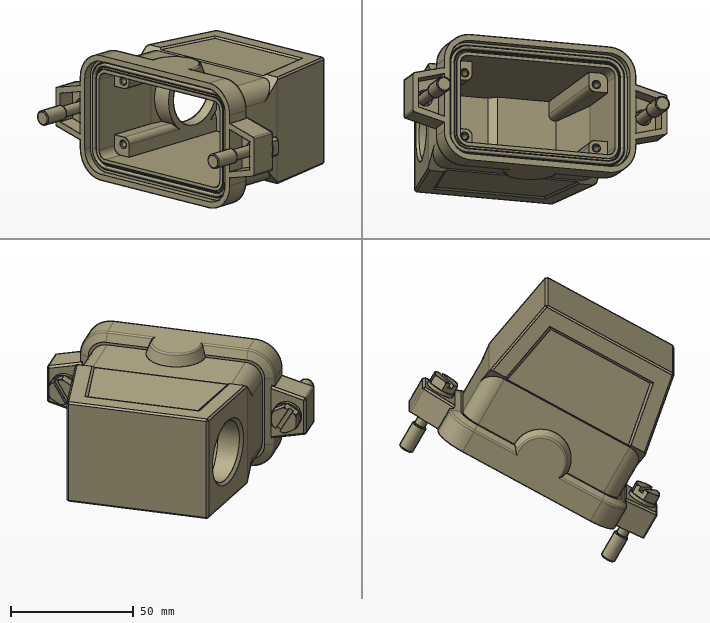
import cadquery as cq
import math


edge_margin = 0.1

flange_half_x, flange_half_z = 41.5, 26.5
flange_radius = 11.5
flange_height = 12.0
shoulder_width, shoulder_drop = 4.0, 1.9
shoulder_blend = 0.9

body_half_x, body_half_z = 36.5, 21.5
body_radius = 7.2
block_start = 34.0
block_top = 70.1
block_top_half_x = 30.0
block_half_z = 22.7
block_chamfer = 0.8
side_slope = (body_half_x - block_top_half_x) / (block_top - block_start)

panel_depth = 0.7
panel_top = 62.8
panel_top_half_x = 24.3
panel_bevel = 1.0

boss_base_radius = 12.4
boss_draft = 20
boss_blend = 0.9

cavity_half_x, cavity_half_z = 33.4, 18.4
cavity_radius = 3.4
shallow_floor = 61.6
floor_step_width = 3.1
deep_floor = shallow_floor + floor_step_width

mouth_wall = 2.5
mouth_depth = 3.4
lip_thickness = 1.5
lip_setback = 2.8
bead_radius = 0.8
bead_inset = 4.7
groove_half_width = 1.1
groove_depth = 0.5

post_inner_x, post_inner_z = 25.3, 10.3
post_radius = 2.6
post_end = 11.9
post_hole_x, post_hole_z = 28.5, 13.4
post_hole_radius = 1.3
post_hole_countersink = 0.4
post_hole_depth = 11.0

entry_y = 51.8
entry_radius = 13.0
entry_chamfer = 1.2
entry_tube_radius = 16.0
entry_tube_end = 25.3

ear_tip_x = 55.0
ear_tip_half_z, ear_root_half_z = 8.1, 11.5
ear_wall = 2.4
ear_pocket_tip_half_z, ear_pocket_root_half_z = 6.0, 9.0
ear_pocket_depth = 7.5
ear_edge = 0.9
ear_hole_radius = 3.3

screw_x = 47.3
washer_radius, washer_thickness = 5.9, 1.5
head_flats, head_height = 10.5, 4.0
head_sides = 6
head_chamfer = 0.4
slot_width, slot_depth = 2.0, 1.8
slot_angle = 60
head_angle = 30
shank_radius = 2.3
thread_radius = 3.1
thread_start, thread_end = -4.7, -16.5
thread_chamfer = 0.4


def rounded_slab(half_x, half_z, radius, y_start, y_end):
    """Rectangular slab with rounded corners between two Y levels."""
    slab = cq.Workplane("XZ", origin=(0, y_start, 0)).rect(2 * half_x, 2 * half_z)
    return slab.extrude(y_start - y_end).edges("|Y").fillet(radius)


def y_cylinder(x, z, radius, y_start, y_end):
    """Cylinder along Y between two Y levels."""
    return cq.Workplane("XZ", origin=(x, y_start, z)).circle(radius).extrude(y_start - y_end)


def y_prism(points, y_start, y_end):
    """Prism along Y whose outline is given as (X, Z) points."""
    return cq.Workplane("XZ", origin=(0, y_start, 0)).polyline(points).close().extrude(y_start - y_end)


def mirrored_z(shape):
    """Shape together with its mirror image below Z = 0."""
    return shape.union(shape.mirror("XY"))


def make_flange():
    flange = rounded_slab(flange_half_x, flange_half_z, flange_radius, 0, flange_height)
    flange = flange.faces(">Y").chamfer(shoulder_drop, shoulder_width)
    shoulder_y = flange_height - shoulder_drop
    rim = cq.selectors.BoxSelector(
        (-flange_half_x - edge_margin, shoulder_y - edge_margin, -flange_half_z - edge_margin),
        (flange_half_x + edge_margin, shoulder_y + edge_margin, flange_half_z + edge_margin),
    )
    return flange.edges(rim).fillet(shoulder_blend)


def make_block():
    """Upper block: 45 degree underside in the YZ profile, tapered sides in the XY profile."""
    flare_end = block_start + block_half_z - body_half_z
    corner_half_z = body_half_z - body_radius
    flare_start = block_start - body_radius
    half_profile = [
        (flare_start, corner_half_z),
        (flare_end, block_half_z),
        (block_top, block_half_z),
    ]
    profile = half_profile + [(y, -z) for y, z in reversed(half_profile)]
    block = cq.Workplane("YZ").polyline(profile).close().extrude(body_half_x, both=True)
    half_outline = [
        (body_half_x, flare_start),
        (body_half_x, block_start),
        (block_top_half_x, block_top),
    ]
    outline = half_outline + [(-x, y) for x, y in reversed(half_outline)]
    block = block.intersect(cq.Workplane("XY").polyline(outline).close().extrude(block_half_z, both=True))
    upper_edges = cq.selectors.BoxSelector(
        (-body_half_x, flare_end + edge_margin, -block_half_z - edge_margin),
        (body_half_x, block_top + edge_margin, block_half_z + edge_margin),
    )
    return block.edges(upper_edges).chamfer(block_chamfer)


def panel_outline(z, inset):
    """Panel outline at height z, running out through the underside of the block."""
    bottom = block_start - block_half_z + body_half_z
    bottom_half_x = panel_top_half_x + side_slope * (panel_top - bottom)
    points = [
        (panel_top_half_x - inset, panel_top - inset),
        (bottom_half_x - inset, bottom),
        (-bottom_half_x + inset, bottom),
        (-panel_top_half_x + inset, panel_top - inset),
    ]
    return cq.Workplane("XY", origin=(0, 0, z)).polyline(points).close()


def make_panel_cutter():
    floor_wires = panel_outline(block_half_z - panel_depth, panel_bevel).wires().vals()
    rim_wires = panel_outline(block_half_z, 0).wires().vals()
    return mirrored_z(cq.Workplane(cq.Solid.makeLoft(floor_wires + rim_wires, True)))


def make_bosses():
    base_z = (cavity_half_z + body_half_z) / 2
    radius = boss_base_radius + (body_half_z - base_z) * math.tan(math.radians(boss_draft))
    boss = cq.Workplane("XY", origin=(0, flange_height, base_z)).circle(radius)
    boss = boss.extrude(flange_half_z - base_z, taper=boss_draft)
    boss = boss.faces(">Z").edges().fillet(boss_blend)
    within = rounded_slab(flange_half_x, flange_half_z, flange_radius, 0, block_start)
    return mirrored_z(boss.intersect(within))


def make_cavity():
    """Cavity with walls parallel to the block sides and a stepped floor."""
    floor_half_x = cavity_half_x - side_slope * (shallow_floor - block_start)
    deep_half_x = cavity_half_x - side_slope * (deep_floor - block_start)
    outline = [
        (-cavity_half_x, 0),
        (cavity_half_x, 0),
        (cavity_half_x, block_start),
        (floor_half_x, shallow_floor),
        (floor_step_width, shallow_floor),
        (0, deep_floor),
        (-deep_half_x, deep_floor),
        (-cavity_half_x, block_start),
    ]
    cavity = cq.Workplane("XY").polyline(outline).close().extrude(cavity_half_z, both=True)
    return cavity.intersect(rounded_slab(cavity_half_x, cavity_half_z, cavity_radius, 0, block_top))


def make_mouth_cutter():
    """Mouth recess, leaving a set back lip around the cavity."""
    recess = rounded_slab(
        flange_half_x - mouth_wall, flange_half_z - mouth_wall, flange_radius - mouth_wall, 0, mouth_depth
    )
    lip = rounded_slab(
        cavity_half_x + lip_thickness,
        cavity_half_z + lip_thickness,
        cavity_radius + lip_thickness,
        lip_setback,
        mouth_depth,
    )
    return recess.cut(lip)


def seal_outline_slab(offset, y_start, y_end):
    """Slab whose outline runs parallel to the seal line at the given outward offset."""
    inset = bead_inset - offset
    return rounded_slab(flange_half_x - inset, flange_half_z - inset, flange_radius - inset, y_start, y_end)


def make_seal_groove():
    groove_floor = mouth_depth + groove_depth
    outer = seal_outline_slab(groove_half_width, mouth_depth, groove_floor)
    return outer.cut(seal_outline_slab(-groove_half_width, mouth_depth, groove_floor))


def make_seal_bead():
    """Round bead half sunk in the mouth floor, following the flange outline."""
    path = seal_outline_slab(0, mouth_depth, flange_height).faces("<Y").wires()
    arc_start = (flange_half_x - bead_inset, mouth_depth, flange_half_z - flange_radius)
    bead = cq.Workplane("XY", origin=arc_start).circle(bead_radius)
    return bead.sweep(path)


def make_posts():
    """Four square posts in the cavity corners, rounded on their free edge."""
    size_x = body_half_x - post_inner_x
    size_z = body_half_z - post_inner_z
    post = cq.Workplane("XZ", origin=(0, post_end, 0))
    post = post.center(post_inner_x + size_x / 2, post_inner_z + size_z / 2).rect(size_x, size_z)
    post = post.extrude(post_end - block_top).edges("|Y and <X and <Z").fillet(post_radius)
    hole = y_cylinder(post_hole_x, post_hole_z, post_hole_radius, post_end, post_end + post_hole_depth)
    countersink = cq.Solid.makeCone(
        post_hole_radius + post_hole_countersink,
        post_hole_radius,
        post_hole_countersink,
        pnt=cq.Vector(post_hole_x, post_end, post_hole_z),
        dir=cq.Vector(0, 1, 0),
    )
    posts = mirrored_z(post.cut(hole).cut(cq.Workplane(countersink)))
    return posts.union(posts.mirror("YZ"))


def x_cylinder(radius, x_start, x_end):
    """Cylinder along X on the cable entry axis."""
    return cq.Workplane("YZ", origin=(x_start, entry_y, 0)).circle(radius).extrude(x_end - x_start)


def cut_cable_entry(shell):
    """Bore through the sloping side into the tube, with a chamfer following the slope."""
    shell = shell.cut(x_cylinder(entry_radius, -body_half_x, -entry_tube_end))
    mouth_x = -body_half_x + side_slope * (entry_y - block_start)
    mouth_reach = side_slope * entry_radius
    near_mouth = cq.selectors.BoxSelector(
        (mouth_x - mouth_reach, entry_y - entry_radius, -entry_radius),
        (mouth_x + mouth_reach, entry_y + entry_radius, entry_radius),
    )
    return shell.edges(near_mouth).edges("not %LINE").chamfer(entry_chamfer)


def make_ear():
    """Screw ear on the +X side, open towards the mouth."""
    root_x = flange_half_x - mouth_wall / 2
    root_slope = (ear_root_half_z - ear_tip_half_z) / (ear_tip_x - flange_half_x)
    root_half_z = ear_root_half_z + root_slope * (flange_half_x - root_x)
    ear = y_prism(
        [
            (root_x, -root_half_z),
            (ear_tip_x, -ear_tip_half_z),
            (ear_tip_x, ear_tip_half_z),
            (root_x, root_half_z),
        ],
        0,
        flange_height,
    )
    ear = ear.edges("|Y and >X").fillet(ear_edge)
    ear = ear.faces(">Y").edges("not <X").chamfer(ear_edge)
    pocket_tip_x = ear_tip_x - ear_wall
    pocket = y_prism(
        [
            (flange_half_x, -ear_pocket_root_half_z),
            (pocket_tip_x, -ear_pocket_tip_half_z),
            (pocket_tip_x, ear_pocket_tip_half_z),
            (flange_half_x, ear_pocket_root_half_z),
        ],
        0,
        ear_pocket_depth,
    )
    hole = y_cylinder(screw_x, 0, ear_hole_radius, 0, flange_height)
    return ear.cut(pocket).cut(hole)


def make_screw():
    """Captive screw on the +X side: slotted hexagon head, washer, thin shank and thread."""
    head_start = flange_height + washer_thickness
    head_end = head_start + head_height
    corner_diameter = head_flats / math.cos(math.pi / head_sides)
    head = cq.Workplane("XZ", origin=(screw_x, head_start, 0)).transformed(rotate=(0, 0, head_angle))
    head = head.polygon(head_sides, corner_diameter).extrude(-head_height)
    rounding = y_cylinder(screw_x, 0, corner_diameter / 2, head_start, head_end)
    head = head.intersect(rounding.faces(">Y").chamfer(head_chamfer))
    slot = cq.Workplane("XZ", origin=(screw_x, head_end - slot_depth, 0)).transformed(rotate=(0, 0, slot_angle))
    head = head.cut(slot.rect(2 * corner_diameter, slot_width).extrude(-slot_depth))
    washer = y_cylinder(screw_x, 0, washer_radius, flange_height, head_start)
    shank = y_cylinder(screw_x, 0, shank_radius, thread_start, flange_height)
    thread = y_cylinder(screw_x, 0, thread_radius, thread_end, thread_start).edges().chamfer(thread_chamfer)
    return head.union(washer).union(shank).union(thread)


body = rounded_slab(body_half_x, body_half_z, body_radius, 0, block_start)
shell = make_flange().union(body).union(make_block()).union(make_bosses()).cut(make_panel_cutter())

entry_tube = x_cylinder(entry_tube_radius, -body_half_x, -entry_tube_end)
shell = shell.cut(make_cavity().cut(make_posts()).cut(entry_tube))
shell = shell.cut(make_mouth_cutter()).cut(make_seal_groove()).union(make_seal_bead())
shell = cut_cable_entry(shell)

fastening = make_ear().union(make_screw())
result = shell.union(fastening).union(fastening.mirror("YZ"))